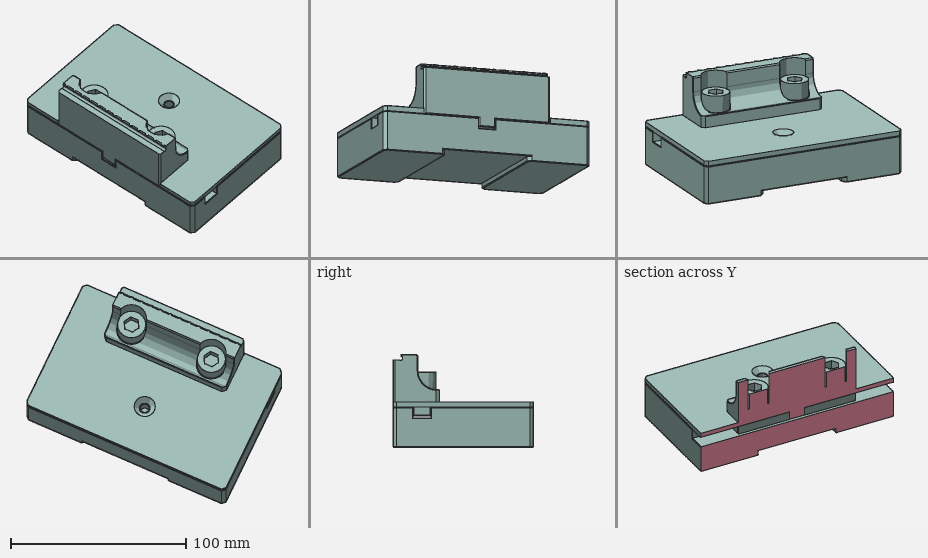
import cadquery as cq
import math

LENGTH = 125.0
WIDTH = 80.0
BLOCK_HEIGHT = 23.0
PLATE_THICKNESS = 3.0
PLATE_TOP = BLOCK_HEIGHT + PLATE_THICKNESS
CORNER_CHAMFER = 2.0
EDGE_CHAMFER = 0.5
FRONT = -WIDTH / 2

CHANNEL_WIDTH = 50.0
CHANNEL_DEPTH = 3.0
CHANNEL_FLARE = 2.2

KEY_WIDTH = 10.0
KEY_DEPTH = 5.0
KEY_CHAMFER = 0.5
SLOT_WIDTH = 10.2
SLOT_DEPTH = 6.1
SLOT_BEVEL = 0.31

HOLE_Y = 13.0
COUNTERSINK_DIAMETER = 12.0
COUNTERSINK_END_DIAMETER = COUNTERSINK_DIAMETER - 2 * PLATE_THICKNESS
HOLE_DIAMETER = 5.0
HOLE_DEPTH = 10.0

JAW_LENGTH = 76.5
JAW_BOTTOM = BLOCK_HEIGHT
JAW_TOP = 53.0
JAW_BACK = -13.5
JAW_WALL_Y = -25.9
JAW_FOOT_TOP = 33.0
JAW_ARC_RADIUS = 11.0
JAW_BACK_TOP_CHAMFER = 0.8
JAW_SIDE_CHAMFER = 0.4
JAW_FRONT_CHAMFER = 1.0
JAW_REAR_CHAMFER = 2.0

STEP_Z = 50.0
LIP_TOP_Y = -34.8
LIP_TIP_Y = -35.2
LIP_BOTTOM = 52.0
GROOVE_RADIUS = 0.9
GROOVE_Y = -35.6
GROOVE_Z = 50.5

TOOTH_COUNT = 13
TOOTH_PITCH = 6.0
TOOTH_ROOT_WIDTH = 2.0
TOOTH_TIP_WIDTH = 1.0
TOOTH_LENGTH = 0.9

SCREW_X = 25.0
SCREW_Y = -23.5
SCREW_HEAD_DIAMETER = 16.0
SCREW_HEAD_HEIGHT = 10.0
COUNTERBORE_DIAMETER = 17.0
COUNTERBORE_FLOOR = JAW_FOOT_TOP
SCREW_HEAD_TOP = COUNTERBORE_FLOOR + SCREW_HEAD_HEIGHT
SOCKET_ACROSS_FLATS = 8.0
SOCKET_DEPTH = 5.0


def box(x_size, y_min, y_max, z_min, z_max):
    """Box centred on X = 0."""
    size = (x_size, y_max - y_min, z_max - z_min)
    return cq.Workplane().box(*size, centered=(True, False, False)).translate((0, y_min, z_min))


def cylinder(diameter, x, y, z_min, z_max):
    return cq.Workplane(origin=(x, y, z_min)).circle(diameter / 2).extrude(z_max - z_min)


def make_block():
    block = cq.Workplane().box(LENGTH, WIDTH, BLOCK_HEIGHT, centered=(True, True, False))
    block = block.edges("|Z").chamfer(CORNER_CHAMFER)
    block = block.faces(">Z").edges().chamfer(EDGE_CHAMFER)
    half, flared = CHANNEL_WIDTH / 2, CHANNEL_WIDTH / 2 + CHANNEL_FLARE
    straight_end = WIDTH / 2 - CHANNEL_FLARE
    channel = (
        cq.Workplane()
        .moveTo(-flared, FRONT)
        .lineTo(flared, FRONT)
        .lineTo(half, -straight_end)
        .lineTo(half, straight_end)
        .lineTo(flared, WIDTH / 2)
        .lineTo(-flared, WIDTH / 2)
        .lineTo(-half, straight_end)
        .lineTo(-half, -straight_end)
        .close()
        .extrude(CHANNEL_DEPTH)
    )
    block = block.cut(channel)
    block = block.faces("<Z").edges().chamfer(EDGE_CHAMFER)
    mouth_size = (2 * (flared - EDGE_CHAMFER), 2 * CHANNEL_DEPTH, EDGE_CHAMFER)
    for side in (-1, 1):
        origin = (0, side * WIDTH / 2, 0)
        block = block.cut(make_mouth(origin, (1, 0, 0), (0, -side, 0), *mouth_size))
    return block.cut(make_key_slots())


def make_mouth(origin, x_dir, inward, width, height, bevel):
    """Mouth of a rectangular opening, shrinking at 45 degrees to width x height at the bevel depth."""
    face = cq.Plane(origin, x_dir, inward)
    return cq.Workplane(face).rect(width + 2 * bevel, height + 2 * bevel).extrude(bevel, taper=45)


def make_key_slots():
    floor = BLOCK_HEIGHT - SLOT_DEPTH
    half = SLOT_WIDTH / 2
    slots = box(LENGTH, SCREW_Y - half, SCREW_Y + half, floor, BLOCK_HEIGHT)
    slots = slots.union(box(SLOT_WIDTH, FRONT, JAW_BACK, floor, BLOCK_HEIGHT))
    slots = slots.union(cylinder(SLOT_WIDTH, 0, JAW_BACK, floor, BLOCK_HEIGHT))
    mouth_size = (SLOT_WIDTH, 2 * SLOT_DEPTH, SLOT_BEVEL)
    slots = slots.union(make_mouth((0, FRONT, BLOCK_HEIGHT), (1, 0, 0), (0, 1, 0), *mouth_size))
    for side in (-1, 1):
        origin = (side * LENGTH / 2, SCREW_Y, BLOCK_HEIGHT)
        slots = slots.union(make_mouth(origin, (0, 1, 0), (-side, 0, 0), *mouth_size))
    return slots


def make_plate():
    plate = cq.Workplane(origin=(0, 0, BLOCK_HEIGHT)).rect(LENGTH, WIDTH).extrude(PLATE_THICKNESS)
    return plate.edges("|Z").chamfer(CORNER_CHAMFER)


def make_screw_hole():
    drill = cylinder(HOLE_DIAMETER, 0, HOLE_Y, PLATE_TOP - HOLE_DEPTH, PLATE_TOP)
    cone = cq.Solid.makeCone(
        COUNTERSINK_END_DIAMETER / 2,
        COUNTERSINK_DIAMETER / 2,
        PLATE_THICKNESS,
        pnt=cq.Vector(0, HOLE_Y, BLOCK_HEIGHT),
    )
    return drill.union(cq.Workplane(cone))


def make_jaw():
    arc_center_z = JAW_FOOT_TOP + JAW_ARC_RADIUS
    arc_end_y = JAW_WALL_Y + JAW_ARC_RADIUS
    bow = JAW_ARC_RADIUS * math.sqrt(0.5)
    step_wall_y = GROOVE_Y + GROOVE_RADIUS
    groove_end_y = GROOVE_Y - math.sqrt(GROOVE_RADIUS**2 - (GROOVE_Z - STEP_Z) ** 2)
    profile = (
        cq.Workplane("YZ", origin=(-JAW_LENGTH / 2, 0, 0))
        .moveTo(FRONT, JAW_BOTTOM)
        .lineTo(JAW_BACK, JAW_BOTTOM)
        .lineTo(JAW_BACK, JAW_FOOT_TOP - JAW_SIDE_CHAMFER)
        .lineTo(JAW_BACK - JAW_SIDE_CHAMFER, JAW_FOOT_TOP)
        .lineTo(arc_end_y, JAW_FOOT_TOP)
        .threePointArc((arc_end_y - bow, arc_center_z - bow), (JAW_WALL_Y, arc_center_z))
        .lineTo(JAW_WALL_Y, JAW_TOP - JAW_BACK_TOP_CHAMFER)
        .lineTo(JAW_WALL_Y - JAW_BACK_TOP_CHAMFER, JAW_TOP)
        .lineTo(LIP_TOP_Y, JAW_TOP)
        .lineTo(LIP_TIP_Y, LIP_BOTTOM)
        .lineTo(step_wall_y, LIP_BOTTOM - (step_wall_y - LIP_TIP_Y))
        .lineTo(step_wall_y, GROOVE_Z)
        .threePointArc((GROOVE_Y, GROOVE_Z - GROOVE_RADIUS), (groove_end_y, STEP_Z))
        .lineTo(FRONT, STEP_Z)
        .close()
        .extrude(JAW_LENGTH)
    )
    back_corner = (JAW_LENGTH, 0, JAW_TOP)
    front_corner = (-JAW_LENGTH, JAW_WALL_Y - JAW_BACK_TOP_CHAMFER, JAW_FOOT_TOP - JAW_SIDE_CHAMFER)
    back_edges = cq.selectors.BoxSelector(front_corner, back_corner)
    jaw = profile.faces("<X or >X").edges(back_edges).chamfer(JAW_SIDE_CHAMFER)
    jaw = jaw.edges("|Z and <Y").chamfer(JAW_FRONT_CHAMFER)
    jaw = jaw.intersect(make_footprint(JAW_BOTTOM, JAW_TOP))
    for index in range(TOOTH_COUNT):
        jaw = jaw.union(make_tooth((index - (TOOTH_COUNT - 1) / 2) * TOOTH_PITCH))
    return jaw.edges("|X and <Y and <Z").chamfer(KEY_CHAMFER).union(make_keys())


def make_footprint(z_min, z_max):
    """Prism with the rear outline of the jaw in plan and square front corners."""
    footprint = box(JAW_LENGTH, FRONT, JAW_BACK, z_min, z_max)
    return footprint.edges("|Z and >Y").chamfer(JAW_REAR_CHAMFER)


def make_tooth(x):
    """Tapered tooth standing out from the front of the lip."""
    return (
        cq.Workplane(origin=(x, LIP_TOP_Y, LIP_BOTTOM))
        .moveTo(-TOOTH_ROOT_WIDTH / 2, 0)
        .lineTo(TOOTH_ROOT_WIDTH / 2, 0)
        .lineTo(TOOTH_TIP_WIDTH / 2, -TOOTH_LENGTH)
        .lineTo(-TOOTH_TIP_WIDTH / 2, -TOOTH_LENGTH)
        .close()
        .extrude(JAW_TOP - LIP_BOTTOM)
    )


def make_keys():
    bottom = JAW_BOTTOM - KEY_DEPTH
    half = KEY_WIDTH / 2
    cross_key = box(JAW_LENGTH, SCREW_Y - half, SCREW_Y + half, bottom, JAW_BOTTOM + KEY_CHAMFER)
    cross_key = cross_key.faces("<X or >X").edges("not >Z").chamfer(KEY_CHAMFER)
    front_key = box(KEY_WIDTH, FRONT, JAW_BACK, bottom, JAW_BOTTOM + KEY_CHAMFER)
    front_key = front_key.faces("<Y").edges("not >Z").chamfer(KEY_CHAMFER)
    return cross_key.union(front_key)


def make_screw_head(x):
    head = cylinder(SCREW_HEAD_DIAMETER, x, SCREW_Y, COUNTERBORE_FLOOR, SCREW_HEAD_TOP)
    socket = (
        cq.Workplane(origin=(x, SCREW_Y, SCREW_HEAD_TOP - SOCKET_DEPTH))
        .polygon(6, SOCKET_ACROSS_FLATS / math.cos(math.pi / 6))
        .extrude(SOCKET_DEPTH)
    )
    return head.cut(socket)


jaw_recess = make_footprint(BLOCK_HEIGHT, PLATE_TOP)
result = make_plate().cut(jaw_recess).union(make_block()).cut(make_screw_hole()).union(make_jaw())
for screw_x in (-SCREW_X, SCREW_X):
    result = result.cut(cylinder(COUNTERBORE_DIAMETER, screw_x, SCREW_Y, COUNTERBORE_FLOOR, JAW_TOP))
    result = result.union(make_screw_head(screw_x))